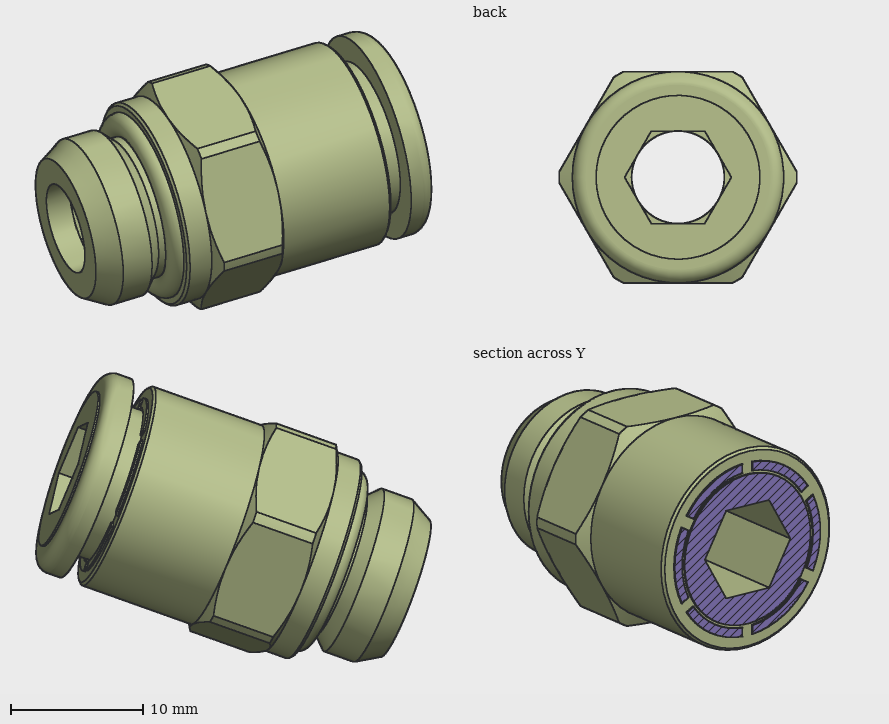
import cadquery as cq
import math


FULL_TURN = 360

LEAD_IN_END = 1.8
THREAD_END = 4.2
RELIEF_START = 5.2
BODY_START = 6.5
HEX_START = 8.5
HEX_END = 14.5
BODY_END = 23.5
SLOTTED_RING_END = 23.65
COLLAR_START = 25.1
COLLAR_END = 27.15
TOTAL_LENGTH = 27.3

THREAD_DIAMETER = 13.1
BODY_DIAMETER = 16.0
NECK_DIAMETER = 12.0
COLLAR_DIAMETER = 16.0
RAISED_FACE_DIAMETER = 12.4

LEAD_IN_ANGLE = math.radians(30)
BODY_CHAMFER = 0.2
COLLAR_ROUND = 1.0

SEAL_SECTION_DIAMETER = 1.95
SEAL_OUTER_DIAMETER = 14.6

RING_OUTER_DIAMETER = 13.88
RING_INNER_DIAMETER = 12.4
RING_SLOT_COUNT = 6
RING_SLOT_WIDTH = 0.94

HEX_SIDES = 6

HEX_ACROSS_FLATS = 16.0
HEX_CORNER_DIAMETER = 18.0
HEX_CHAMFER_ANGLE = math.radians(30)

MOUTH_DIAMETER = 7.0
MOUTH_DEPTH = 2.0
SOCKET_ACROSS_FLATS = 7.0


def cylinder(diameter, start, end):
    """Round bar along Y between two axial stations."""
    return revolve_profile(
        cq.Workplane("XY")
        .moveTo(0, start)
        .lineTo(diameter / 2, start)
        .lineTo(diameter / 2, end)
        .lineTo(0, end)
    )


def revolve_profile(profile):
    """Close a radius/axis profile and turn it around the Y axis."""
    return profile.close().revolve(FULL_TURN, (0, 0, 0), (0, 1, 0))


def hex_bar(across_flats, start, end):
    """Hexagonal bar along Y with flats facing +Z and -Z."""
    corner_diameter = across_flats / math.cos(math.pi / HEX_SIDES)
    return (
        cq.Workplane("XZ", origin=(0, start, 0))
        .polygon(HEX_SIDES, corner_diameter)
        .extrude(start - end)
    )


def threaded_end():
    """Thread envelope with a conical lead-in and a 45 degree run-out to the relief."""
    thread_radius = THREAD_DIAMETER / 2
    tip_radius = thread_radius - LEAD_IN_END * math.tan(LEAD_IN_ANGLE)
    relief_radius = thread_radius - (RELIEF_START - THREAD_END)
    return revolve_profile(
        cq.Workplane("XY")
        .lineTo(tip_radius, 0)
        .lineTo(thread_radius, LEAD_IN_END)
        .lineTo(thread_radius, THREAD_END)
        .lineTo(relief_radius, RELIEF_START)
        .lineTo(relief_radius, BODY_START)
        .lineTo(0, BODY_START)
    )


def seal_ring():
    """O-ring centred on the lower face of the body, so its lower half stands out."""
    section_radius = SEAL_SECTION_DIAMETER / 2
    centre_radius = SEAL_OUTER_DIAMETER / 2 - section_radius
    return (
        cq.Workplane("XY")
        .center(centre_radius, BODY_START)
        .circle(section_radius)
        .revolve(FULL_TURN, (-centre_radius, 0), (-centre_radius, 1))
    )


def body():
    """Main cylinder, chamfered at both ends."""
    return cylinder(BODY_DIAMETER, BODY_START, BODY_END).faces("<Y or >Y").chamfer(BODY_CHAMFER)


def wrench_hex():
    """Hexagon with turned corners and conical chamfers on both sides."""
    flat_radius = HEX_ACROSS_FLATS / 2
    corner_radius = HEX_CORNER_DIAMETER / 2
    chamfer_length = (corner_radius - flat_radius) * math.tan(HEX_CHAMFER_ANGLE)
    turned_envelope = revolve_profile(
        cq.Workplane("XY")
        .moveTo(0, HEX_START)
        .lineTo(flat_radius, HEX_START)
        .lineTo(corner_radius, HEX_START + chamfer_length)
        .lineTo(corner_radius, HEX_END - chamfer_length)
        .lineTo(flat_radius, HEX_END)
        .lineTo(0, HEX_END)
    )
    return hex_bar(HEX_ACROSS_FLATS, HEX_START, HEX_END).intersect(turned_envelope)


def slotted_ring():
    """Low ring on the end of the body, split by evenly spaced radial slots."""
    height = SLOTTED_RING_END - BODY_END
    ring = cylinder(RING_OUTER_DIAMETER, BODY_END, SLOTTED_RING_END)
    ring = ring.cut(cylinder(RING_INNER_DIAMETER, BODY_END, SLOTTED_RING_END))
    bar = cq.Workplane("XY").box(RING_SLOT_WIDTH, height, BODY_DIAMETER)
    bar = bar.translate((0, BODY_END + height / 2, 0))
    for index in range(RING_SLOT_COUNT // 2):
        angle = index * FULL_TURN / RING_SLOT_COUNT
        ring = ring.cut(bar.rotate((0, 0, 0), (0, 1, 0), angle))
    return ring


def release_collar():
    """Neck and rounded push collar with a slightly raised end face."""
    neck = cylinder(NECK_DIAMETER, BODY_END, COLLAR_START)
    collar = cylinder(COLLAR_DIAMETER, COLLAR_START, COLLAR_END)
    collar = collar.faces(">Y").edges().fillet(COLLAR_ROUND)
    raised_face = cylinder(RAISED_FACE_DIAMETER, COLLAR_END, TOTAL_LENGTH)
    return neck.union(collar).union(raised_face)


def passage():
    """Through passage along the axis."""
    mouth = cylinder(MOUTH_DIAMETER, 0, MOUTH_DEPTH)
    socket = hex_bar(SOCKET_ACROSS_FLATS, MOUTH_DEPTH, TOTAL_LENGTH)
    return mouth.union(socket)


result = (
    body()
    .union(wrench_hex())
    .union(threaded_end())
    .union(seal_ring())
    .union(slotted_ring())
    .union(release_collar())
    .cut(passage())
)